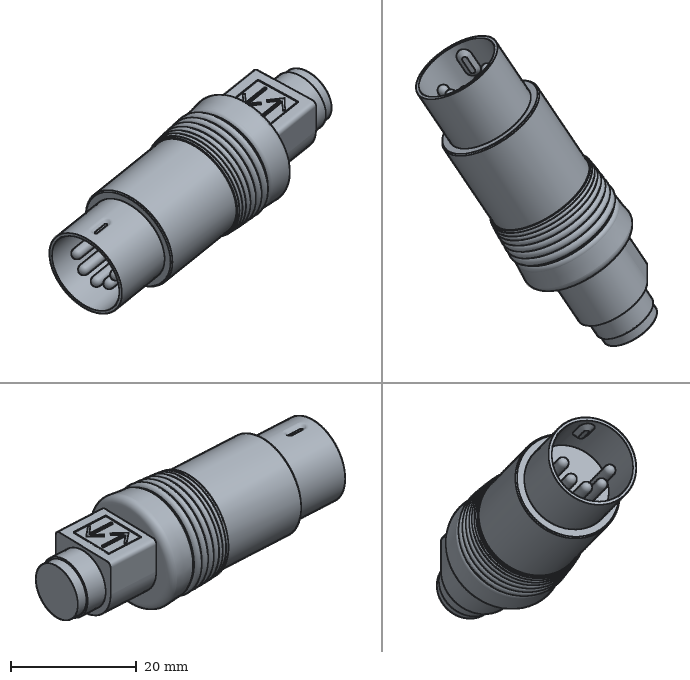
import cadquery as cq
import math

TOTAL_LENGTH = 55.45

GRIP_FRONT = 10.65
GRIP_REAR = 39.85
BARREL_RADIUS = 8.9
BARREL_CHAMFER = 0.2
RIBS_START = 26.8
RIBS_START_RADIUS = 9.15
RIB_WIDTHS = [0.5, 0.8, 0.8, 1.15, 1.3, 1.4, 1.55]
FIRST_CREST_RADIUS = 9.3
LAST_CREST_RADIUS = 9.75
RIB_HEIGHT_RATIO = 0.4
COLLAR_GAP = 0.2
COLLAR_DIAMETER = 19.8
COLLAR_RADIUS = COLLAR_DIAMETER / 2
COLLAR_NECK_RADIUS = 9.15
COLLAR_FRONT_RADIUS = 9.6
COLLAR_FRONT_ROUND = 0.9
COLLAR_REAR_ROUND = 1.35
SOCKET_DEPTH = 5.55

SHELL_RADIUS = 7.5
SHELL_WALL = 0.55
BORE_RADIUS = SHELL_RADIUS - SHELL_WALL
SHELL_REAR = GRIP_FRONT + SOCKET_DEPTH

KEY_Y = 3.8
KEY_STRAIGHT = 2.5
KEY_TAPER = 50.0
KEY_BOTTOM = 6.1
KEY_BOTTOM_HALF_WIDTH = 0.45
DENT_FLOOR = 6.9
DENT_FLOOR_HALF_WIDTH = 0.2
DENT_RIM_FILLET = 0.55
DENT_RIM_DROP = 0.15

PIN_RADIUS = 0.95
PIN_DOME_Y = 2.7
PIN_CENTERS = [(-4.0, 0.1), (-2.6, -2.5), (0.0, -3.5), (2.6, -2.5), (4.0, 0.1)]

BLOCK_REAR = 49.75
BLOCK_RADIUS = 6.45
BLOCK_TOP = 6.0
BLOCK_FILLET = 0.85
NECK_RADIUS = 5.25
NECK_REAR = 53.6
TIP_RADIUS = 4.95

PANEL_WIDTH = 8.25
PANEL_LENGTH = 7.0
PANEL_Y = 44.5
PANEL_DEPTH = 0.15
ARROW_OFFSET = 1.95
ARROW_LENGTH = 5.6
ARROW_STROKE = 0.4
ARROW_HALF_SPAN = 1.9
ARROW_BARB_RISE = 2.15


def cylinder(radius, y_start, y_end, x=0.0, z=0.0):
    """Round bar along Y."""
    start = cq.Vector(x, y_start, z)
    return cq.Workplane(cq.Solid.makeCylinder(radius, y_end - y_start, start, cq.Vector(0, 1, 0)))


def make_grip():
    """Revolved barrel, graded ribs and rounded collar, with a front socket for the shell."""
    profile = (
        cq.Workplane("XY")
        .moveTo(0, GRIP_FRONT)
        .lineTo(BARREL_RADIUS - BARREL_CHAMFER, GRIP_FRONT)
        .lineTo(BARREL_RADIUS, GRIP_FRONT + BARREL_CHAMFER)
        .lineTo(BARREL_RADIUS, RIBS_START)
        .lineTo(RIBS_START_RADIUS, RIBS_START)
    )
    crest_step = (LAST_CREST_RADIUS - FIRST_CREST_RADIUS) / (len(RIB_WIDTHS) - 1)
    y = RIBS_START
    for index, width in enumerate(RIB_WIDTHS):
        crest = FIRST_CREST_RADIUS + index * crest_step
        valley = crest - RIB_HEIGHT_RATIO * width
        profile = profile.threePointArc((crest, y + width / 2), (valley, y + width))
        y += width

    collar_start = y + COLLAR_GAP
    cone_start = collar_start + COLLAR_FRONT_ROUND
    cone_end = GRIP_REAR - COLLAR_REAR_ROUND
    rear_face_radius = COLLAR_RADIUS - COLLAR_REAR_ROUND
    rear_round_offset = COLLAR_REAR_ROUND * math.sqrt(0.5)
    profile = (
        profile.lineTo(COLLAR_NECK_RADIUS, y)
        .lineTo(COLLAR_NECK_RADIUS, collar_start)
        .radiusArc((COLLAR_FRONT_RADIUS, cone_start), -COLLAR_FRONT_ROUND)
        .lineTo(COLLAR_RADIUS, cone_end)
        .threePointArc(
            (rear_face_radius + rear_round_offset, cone_end + rear_round_offset),
            (rear_face_radius, GRIP_REAR),
        )
        .lineTo(0, GRIP_REAR)
        .close()
    )
    grip = profile.revolve(360, (0, 0, 0), (0, 1, 0))
    return grip.cut(cylinder(SHELL_RADIUS, GRIP_FRONT, SHELL_REAR))


def tapered_obround(half_width, z_bottom, z_top):
    """Obround along Y that widens upwards with the key's flank angle."""
    return (
        cq.Workplane("XY", origin=(0, KEY_Y, z_bottom))
        .slot2D(KEY_STRAIGHT + 2 * half_width, 2 * half_width, 90)
        .extrude(z_top - z_bottom, taper=-KEY_TAPER)
    )


def make_shell():
    """Tube with the key pressed inwards from its top."""
    outside = cylinder(SHELL_RADIUS, 0, SHELL_REAR)
    bore = cylinder(BORE_RADIUS, 0, SHELL_REAR)
    key = tapered_obround(KEY_BOTTOM_HALF_WIDTH, KEY_BOTTOM, SHELL_RADIUS).intersect(outside)
    dent = tapered_obround(DENT_FLOOR_HALF_WIDTH, DENT_FLOOR, SHELL_RADIUS + SHELL_WALL)
    shell = outside.cut(bore).union(key).cut(dent)
    rim_zone = cq.selectors.BoxSelector(
        (-KEY_STRAIGHT, KEY_Y - KEY_STRAIGHT, SHELL_RADIUS - DENT_RIM_DROP),
        (KEY_STRAIGHT, KEY_Y + KEY_STRAIGHT, SHELL_RADIUS + DENT_RIM_DROP),
    )
    return shell.edges(rim_zone).fillet(DENT_RIM_FILLET)


def make_insert():
    """Disc that closes the shell flush with the grip's front face, with dome-ended pins."""
    insert = cylinder(BORE_RADIUS, GRIP_FRONT, SHELL_REAR)
    for x, z in PIN_CENTERS:
        dome = cq.Workplane("XY", origin=(x, PIN_DOME_Y, z)).sphere(PIN_RADIUS)
        pin = cylinder(PIN_RADIUS, PIN_DOME_Y, GRIP_FRONT, x, z)
        insert = insert.union(pin.union(dome))
    return insert


def make_arrow():
    """Raised arrow on the panel floor that points towards the mating end."""
    slope = ARROW_BARB_RISE / ARROW_HALF_SPAN
    angle = math.atan(slope)
    half_stroke = ARROW_STROKE / 2
    half_outline = [
        (ARROW_HALF_SPAN, ARROW_BARB_RISE),
        (
            ARROW_HALF_SPAN - ARROW_STROKE * math.sin(angle),
            ARROW_BARB_RISE + ARROW_STROKE * math.cos(angle),
        ),
        (half_stroke, ARROW_STROKE / math.cos(angle) + slope * half_stroke),
        (half_stroke, ARROW_LENGTH),
    ]
    mirrored = [(-x, y) for x, y in reversed(half_outline)]
    origin = (-ARROW_OFFSET, PANEL_Y - ARROW_LENGTH / 2, BLOCK_TOP - PANEL_DEPTH)
    outline = cq.Workplane("XY", origin=origin).polyline([(0, 0)] + half_outline + mirrored).close()
    return outline.extrude(PANEL_DEPTH)


def make_tail():
    """Block behind the grip, with its arrow panel and the two round steps at the cable end."""
    block = (
        cq.Workplane("XZ", origin=(0, GRIP_REAR, 0))
        .moveTo(-BLOCK_RADIUS, 0)
        .threePointArc((0, -BLOCK_RADIUS), (BLOCK_RADIUS, 0))
        .lineTo(BLOCK_RADIUS, BLOCK_TOP)
        .lineTo(-BLOCK_RADIUS, BLOCK_TOP)
        .close()
        .extrude(GRIP_REAR - BLOCK_REAR)
    )
    block = block.faces(">Z").edges("|Y").fillet(BLOCK_FILLET)
    panel = cq.Workplane("XY", origin=(0, PANEL_Y, BLOCK_TOP - PANEL_DEPTH))
    block = block.cut(panel.rect(PANEL_WIDTH, PANEL_LENGTH).extrude(PANEL_DEPTH))
    arrow = make_arrow()
    for turn in (0, 180):
        block = block.union(arrow.rotate((0, PANEL_Y, 0), (0, PANEL_Y, 1), turn))
    neck = cylinder(NECK_RADIUS, BLOCK_REAR, NECK_REAR)
    tip = cylinder(TIP_RADIUS, NECK_REAR, TOTAL_LENGTH)
    return block.union(neck).union(tip)


grip = make_grip()
shell = make_shell()
insert = make_insert()
tail = make_tail()

result = cq.Compound.makeCompound([grip.val(), shell.val(), insert.val(), tail.val()])